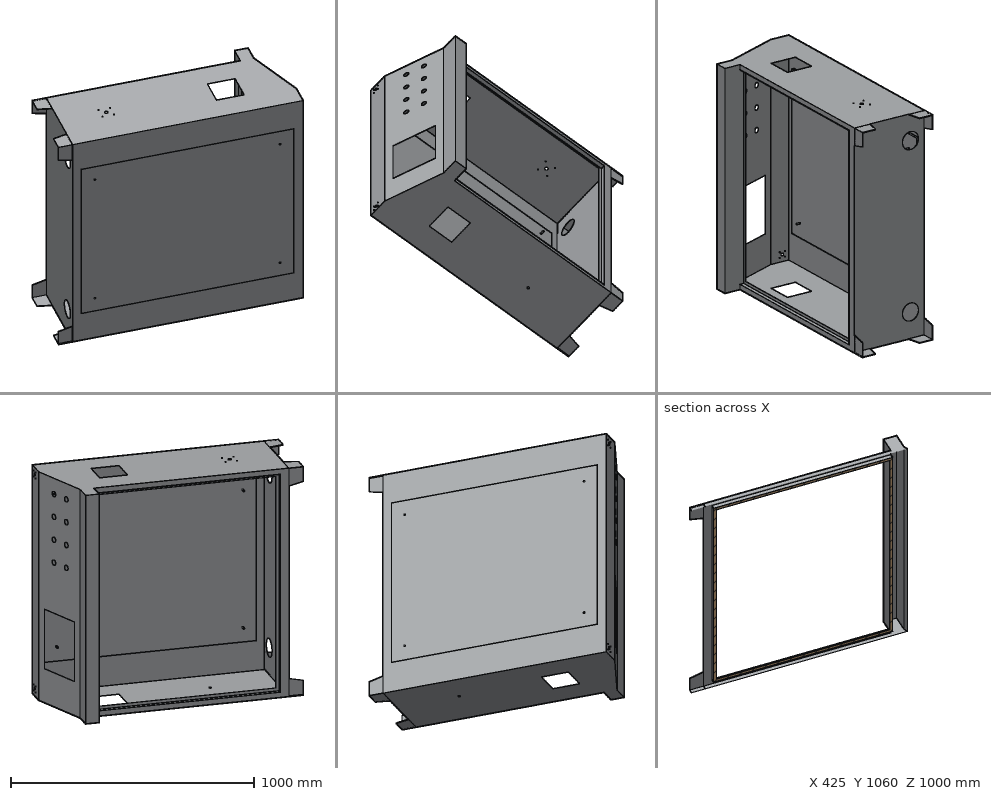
import cadquery as cq


TOTAL_DEPTH = 425.0
TOTAL_LENGTH = 1060.0
TOTAL_HEIGHT = 1000.0
SHEET = 2.0

LEG_LENGTH = 60.0
CABINET_DEPTH = 350.0
CROWN_WIDTH = 90.0
HOOD_DROP = 100.0
HOOD_LENGTH = 60.0

LEG_THICKNESS = 4.0
LEG_ROOT_WIDTH = 80.0
LEG_TIP_WIDTH = 66.0

OPENING_BOTTOM_MARGIN = 40.0
OPENING_SIDE_MARGIN = 25.0
LIP_WIDTH = 13.0
LIP_RECESS = 18.0

WINDOW_SIZE = 120.0
WINDOW_DROP = 279.0
SOCKET_DROP = 796.0
SOCKET_BORE_DIAMETER = 14.0
SOCKET_SCREW_DIAMETER = 4.0
SOCKET_SCREW_SPACING = 50.0
FLOOR_HOLE_DIAMETER = 10.0
FLOOR_HOLE_DROP = 721.0
FLOOR_HOLE_BACK_MARGIN = 148.0

PORT_DIAMETER = 80.0
PORT_BACK_MARGIN = 70.0
PORT_SIDE_MARGIN = 120.0

BRACKET_MARGIN = 33.0
BRACKET_BORE_DIAMETER = 13.0
BRACKET_SCREW_DIAMETER = 4.0
BRACKET_SCREW_SPACING = 25.0

BUTTON_DIAMETER = 23.0
BUTTON_ROWS = 4
BUTTON_ROW_SPACING = 100.0
BUTTON_COLUMN_SPACING = 83.0
BUTTON_OFFSET = -4.0
FIRST_BUTTON_MARGIN = 70.0
SCREEN_LENGTH = 200.0
SCREEN_HEIGHT = 260.0
SCREEN_MARGIN = 720.0

TRAY_SHEET = 1.5
TRAY_DEPTH = 12.0
TRAY_TOP_GAP = 41.0
TRAY_LENGTH = 920.0
TRAY_HEIGHT = 730.0
STUD_DIAMETER = 7.0
STUD_PROTRUSION = 16.0
STUD_END_MARGIN = 59.0
STUD_SPACING_Z = 600.0

back = TOTAL_DEPTH / 2
front = back - CABINET_DEPTH
hood_front = -TOTAL_DEPTH / 2
crown_front = back - CROWN_WIDTH
top = TOTAL_LENGTH / 2
bottom = -top + LEG_LENGTH
hood_top = top - HOOD_DROP
hood_bottom = hood_top - HOOD_LENGTH
side = TOTAL_HEIGHT / 2
back_inside = back - SHEET
tray_face = back_inside - TRAY_DEPTH
tray_top = top - TRAY_TOP_GAP
tray_middle = tray_top - TRAY_LENGTH / 2


def make_box(x_range, y_range, half_height):
    """A box between two X places and two Y places, symmetric about Z = 0."""
    (x0, x1), (y0, y1) = x_range, y_range
    middle = ((x0 + x1) / 2, (y0 + y1) / 2, 0)
    return cq.Workplane("XY", origin=middle).box(x1 - x0, y1 - y0, 2 * half_height)


def draw_outline():
    """The cabinet outline, including the hood at the top of the door side."""
    return (
        cq.Workplane("XY")
        .moveTo(front, bottom)
        .lineTo(back, bottom)
        .lineTo(back, top)
        .lineTo(crown_front, top)
        .lineTo(front, hood_top)
        .lineTo(hood_front, hood_top)
        .lineTo(hood_front, hood_bottom)
        .lineTo(front, hood_bottom)
        .close()
    )


def make_shell():
    """The closed hollow cabinet."""
    outside = draw_outline().extrude(side, both=True)
    cavity = draw_outline().offset2D(-SHEET).extrude(side - SHEET, both=True)
    return outside.cut(cavity)


def add_door_rim(shell):
    """Cut the door opening and fold its edges inward to a narrow lip."""
    opening_bottom = bottom + OPENING_BOTTOM_MARGIN
    half_height = side - OPENING_SIDE_MARGIN
    lip_front = front + LIP_RECESS
    lip_back = lip_front + SHEET
    rim = make_box((front, lip_back), (opening_bottom - SHEET, hood_bottom + SHEET), half_height + SHEET)
    recess = make_box((front, lip_front), (opening_bottom, hood_bottom), half_height)
    doorway = make_box(
        (front, lip_back),
        (opening_bottom + LIP_WIDTH, hood_bottom - LIP_WIDTH),
        half_height - LIP_WIDTH,
    )
    return shell.union(rim).cut(recess).cut(doorway)


def make_leg():
    """The leg at the -X, +Z corner: two tapered leaves that meet in an L."""
    leaf = [(0, 0), (LEG_ROOT_WIDTH, 0), (LEG_TIP_WIDTH, -LEG_LENGTH), (0, -LEG_LENGTH)]
    side_leaf = cq.Workplane("XY").polyline(leaf).close().extrude(-LEG_THICKNESS)
    front_outline = [(y, -width) for width, y in leaf]
    front_leaf = cq.Workplane("YZ").polyline(front_outline).close().extrude(LEG_THICKNESS)
    return side_leaf.union(front_leaf).translate((front, bottom, side))


def add_legs(shell):
    """Put a leg under each corner, mirrored about the middle of the cabinet."""
    middle = ((front + back) / 2, 0, 0)
    leg = make_leg()
    upper_legs = leg.union(leg.mirror("YZ", middle))
    return shell.union(upper_legs).union(upper_legs.mirror("XY"))


def make_hole_pattern(plane, bore_diameter, screw_diameter, spacing):
    """A central bore with four screw holes around it, through one sheet."""
    bore = cq.Workplane(plane).circle(bore_diameter / 2).extrude(2 * SHEET, both=True)
    screws = (
        cq.Workplane(plane)
        .rect(spacing, spacing, forConstruction=True)
        .vertices()
        .circle(screw_diameter / 2)
        .extrude(2 * SHEET, both=True)
    )
    return bore.union(screws)


def cut_side_walls(shell):
    """Windows through both side walls, socket holes at +Z and one floor hole at -Z."""
    middle = (front + back) / 2
    windows = (
        cq.Workplane("XY", origin=(middle, top - WINDOW_DROP, 0))
        .rect(WINDOW_SIZE, WINDOW_SIZE)
        .extrude(side, both=True)
    )
    socket_plane = cq.Plane.XY(origin=(middle, top - SOCKET_DROP, side))
    socket = make_hole_pattern(
        socket_plane, SOCKET_BORE_DIAMETER, SOCKET_SCREW_DIAMETER, SOCKET_SCREW_SPACING
    )
    floor_hole = (
        cq.Workplane("XY", origin=(back - FLOOR_HOLE_BACK_MARGIN, top - FLOOR_HOLE_DROP, -side))
        .circle(FLOOR_HOLE_DIAMETER / 2)
        .extrude(SHEET)
    )
    return shell.cut(windows).cut(socket).cut(floor_hole)


def cut_end_walls(shell):
    """A cable port in the bottom wall and bracket holes in the top wall, near each side."""
    for direction in (-1, 1):
        port_z = direction * (side - PORT_SIDE_MARGIN)
        port = (
            cq.Workplane("XZ", origin=(back - PORT_BACK_MARGIN, bottom, port_z))
            .circle(PORT_DIAMETER / 2)
            .extrude(-SHEET)
        )
        bracket_z = direction * (side - BRACKET_MARGIN)
        bracket_plane = cq.Plane.XZ(origin=(back - BRACKET_MARGIN, top, bracket_z))
        bracket = make_hole_pattern(
            bracket_plane, BRACKET_BORE_DIAMETER, BRACKET_SCREW_DIAMETER, BRACKET_SCREW_SPACING
        )
        shell = shell.cut(port).cut(bracket)
    return shell


def cut_control_panel(shell):
    """Two columns of button holes and a screen opening, square to the sloped panel."""
    run = crown_front - front
    panel = cq.Plane(
        origin=(front + run / 2, top - HOOD_DROP / 2, 0),
        xDir=(run, HOOD_DROP, 0),
        normal=(HOOD_DROP, -run, 0),
    )
    button_places = [
        (
            BUTTON_OFFSET + column * BUTTON_COLUMN_SPACING / 2,
            side - FIRST_BUTTON_MARGIN - row * BUTTON_ROW_SPACING,
        )
        for row in range(BUTTON_ROWS)
        for column in (-1, 1)
    ]
    buttons = (
        cq.Workplane(panel)
        .pushPoints(button_places)
        .circle(BUTTON_DIAMETER / 2)
        .extrude(2 * SHEET, both=True)
    )
    screen = (
        cq.Workplane(panel)
        .center(0, side - SCREEN_MARGIN)
        .rect(SCREEN_LENGTH, SCREEN_HEIGHT)
        .extrude(2 * SHEET, both=True)
    )
    return shell.cut(buttons).cut(screen)


def make_housing():
    housing = add_legs(add_door_rim(make_shell()))
    return cut_control_panel(cut_end_walls(cut_side_walls(housing)))


def stud_places():
    """Centres (Y, Z) of the studs."""
    half_length = TRAY_LENGTH / 2 - STUD_END_MARGIN
    return [
        (tray_middle + along * half_length, across * STUD_SPACING_Z / 2)
        for along in (-1, 1)
        for across in (-1, 1)
    ]


def make_stud(place):
    """A round stud from the back wall through the tray."""
    length = TRAY_DEPTH + STUD_PROTRUSION
    return (
        cq.Workplane("YZ", origin=(back_inside - length, 0, 0))
        .center(*place)
        .circle(STUD_DIAMETER / 2)
        .extrude(length)
    )


def make_tray():
    """A shallow tray, its rim against the back wall, with a hole for each stud."""
    tray = (
        cq.Workplane("YZ", origin=(tray_face, tray_middle, 0))
        .rect(TRAY_LENGTH, TRAY_HEIGHT)
        .extrude(TRAY_DEPTH)
        .faces(">X")
        .shell(-TRAY_SHEET)
    )
    holes = (
        cq.Workplane("YZ", origin=(tray_face, 0, 0))
        .pushPoints(stud_places())
        .circle(STUD_DIAMETER / 2)
        .extrude(TRAY_SHEET)
    )
    return tray.cut(holes)


housing = make_housing()
tray = make_tray()
studs = [make_stud(place) for place in stud_places()]

result = cq.Compound.makeCompound([housing.val(), tray.val(), *[stud.val() for stud in studs]])